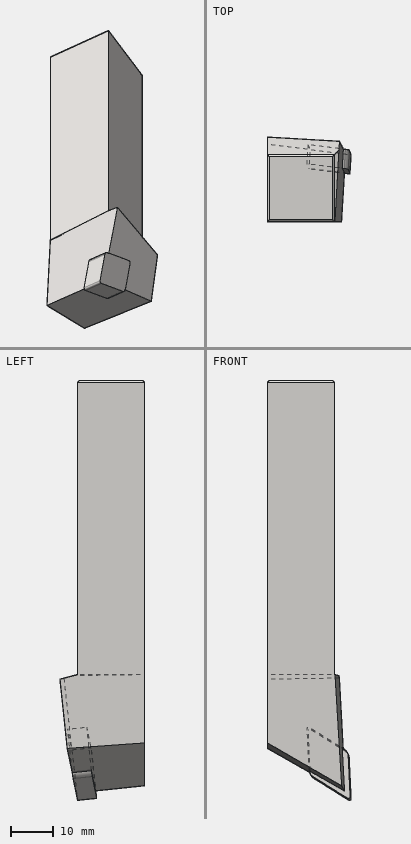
import cadquery as cq
import math

TOTAL_LENGTH = 100.0
SHANK_SIDE = 16.0
END_CHAMFER = 0.5

SHOULDER_Z = 30.0
SHOULDER_SLOPE = math.tan(math.radians(15))
RAKE_Y = 20.2
RAKE_SLOPE_X = 0.06
RAKE_SLOPE_Z = math.tan(math.radians(6))
END_Z = 13.7
END_SLOPE = math.tan(math.radians(30))
SIDE_X = 16.1
SIDE_SLOPE = 0.06

INSERT_EDGE = 11.6
INSERT_ANGLE = 55.0
INSERT_THICKNESS = 4.6
INSERT_LEAN = 93.0
TIP_RADIUS = 0.4
BLUNT_RADIUS = 2.0
TIP_X = 20.0
TIP_Z = -0.34

CUTTER_SIZE = 3 * TOTAL_LENGTH

RAKE_NORMAL = cq.Vector(RAKE_SLOPE_X, 1, -RAKE_SLOPE_Z)
RAKE_TOP_Z = SHOULDER_Z - (RAKE_Y - SHANK_SIDE) * SHOULDER_SLOPE


def rake_point(x, z):
    """Point of the rake face at the given X and Z."""
    y = RAKE_Y - RAKE_SLOPE_X * x + RAKE_SLOPE_Z * (z - RAKE_TOP_Z)
    return cq.Vector(x, y, z)


def trim(body, point, normal):
    """Remove everything on the side of a plane that its normal points to."""
    cutter = cq.Workplane(cq.Plane(origin=point, normal=normal)).rect(CUTTER_SIZE, CUTTER_SIZE)
    return body.cut(cutter.extrude(CUTTER_SIZE))


def trim_end(body):
    """Cut the slanted end flank, square to the rake face."""
    end_slope_y = RAKE_SLOPE_Z - END_SLOPE * RAKE_SLOPE_X
    return trim(body, (0, 0, END_Z), (-END_SLOPE, -end_slope_y, -1))


def make_shank():
    shank = cq.Workplane("XY").box(SHANK_SIDE, SHANK_SIDE, TOTAL_LENGTH, centered=False)
    shank = shank.faces(">Z").edges().chamfer(END_CHAMFER)
    return trim_end(shank)


def make_head():
    blank_side = 2 * SHANK_SIDE
    head = cq.Workplane("XY").box(blank_side, blank_side, SHOULDER_Z, centered=False)
    shoulder_corner = (SHANK_SIDE, SHANK_SIDE, SHOULDER_Z)
    head = trim(head, shoulder_corner, (SHOULDER_SLOPE, 0, 1))
    head = trim(head, shoulder_corner, (0, SHOULDER_SLOPE, 1))
    head = trim(head, rake_point(0, RAKE_TOP_Z), RAKE_NORMAL)
    side_slope_y = RAKE_SLOPE_X - SIDE_SLOPE * RAKE_SLOPE_Z
    head = trim(head, (SIDE_X, 0, SHOULDER_Z), (1, -side_slope_y, SIDE_SLOPE))
    return trim_end(head)


def make_insert():
    def edge_vector(degrees):
        angle = math.radians(degrees)
        return cq.Vector(INSERT_EDGE * math.cos(angle), INSERT_EDGE * math.sin(angle))

    side_edge = edge_vector(INSERT_LEAN)
    end_edge = edge_vector(INSERT_LEAN + INSERT_ANGLE)
    tip = cq.Vector(0, 0)
    corners = [tip, side_edge, side_edge + end_edge, end_edge]

    x_direction = cq.Vector(1, -RAKE_SLOPE_X, 0)
    seat = cq.Plane(rake_point(TIP_X, TIP_Z), x_direction, RAKE_NORMAL * -1)
    plate = cq.Workplane(seat).polyline([(c.x, c.y) for c in corners]).close().extrude(INSERT_THICKNESS)

    def corner_edges(pair):
        """Edges that run through the plate's thickness at a pair of corners."""
        def at_corner(edge):
            middle = seat.toLocalCoords(edge.Center())
            return any(math.hypot(middle.x - c.x, middle.y - c.y) < TIP_RADIUS for c in pair)
        return [edge for edge in plate.edges().vals() if at_corner(edge)]

    plate = plate.newObject(corner_edges(corners[0::2])).fillet(TIP_RADIUS)
    return plate.newObject(corner_edges(corners[1::2])).fillet(BLUNT_RADIUS)


insert = make_insert()
holder = make_shank().union(make_head()).cut(insert)

result = cq.Compound.makeCompound([holder.val(), insert.val()])